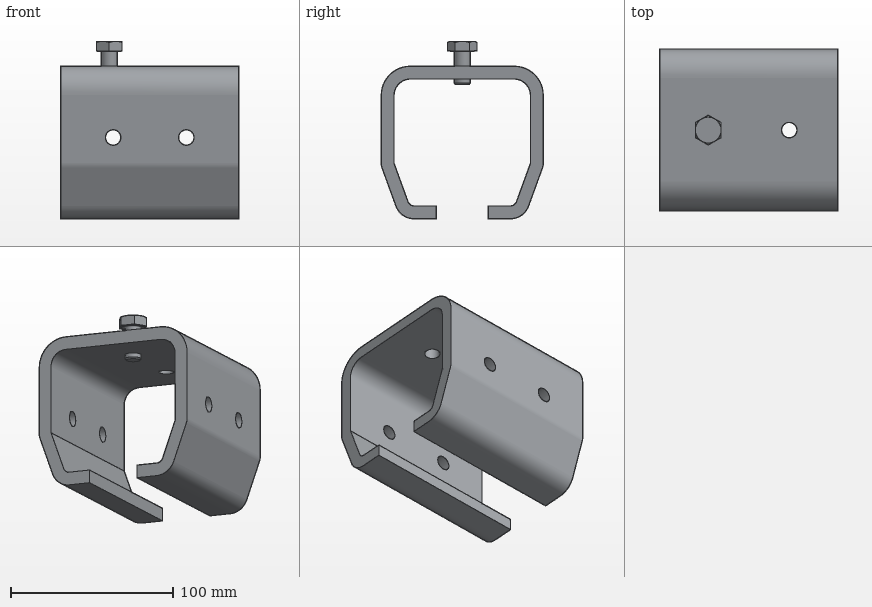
import cadquery as cq
import math

rail_length = 110.0
rail_width = 100.0
rail_height = 94.2
sheet = 8.0
top_inner_radius = 10.0
lip_inner_radius = 4.0
bend_height = 34.2
lean_angle = 20.0
slot_width = 32.0

hole_diameter = 9.4
side_hole_offset = 22.5
side_hole_height = 50.2
top_hole_offset = 25.0

shank_diameter = 10.0
bolt_top = 109.5
bolt_bottom = 82.7
tip_chamfer = 0.9
head_height = 5.9
head_across_flats = 16.0
head_top_bevel = 0.8
washer_face_diameter = 14.6
washer_face_height = 0.4
neck_fillet = 0.4

lean = math.radians(lean_angle)
edge_margin = 0.1


def rounded_tube(half_width, floor, roof, bend, top_radius, bend_radius, floor_radius):
    """Solid bar along X: upright sides, leaning in below the bend, with rounded long edges."""
    half_floor = half_width - (bend - floor) * math.tan(lean)
    right_side = [(half_floor, floor), (half_width, bend), (half_width, roof)]
    left_side = [(-y, z) for y, z in reversed(right_side)]
    bar = (
        cq.Workplane("YZ")
        .polyline(right_side + left_side)
        .close()
        .extrude(rail_length / 2, both=True)
    )
    bar = bar.edges("|X and >Z").fillet(top_radius)
    bar = bar.edges("|X and <Z").fillet(floor_radius)
    if bend_radius > 0:
        near_bend = cq.selectors.BoxSelector(
            (-rail_length, -rail_width, bend - edge_margin), (rail_length, rail_width, bend + edge_margin)
        )
        bar = bar.edges(near_bend).fillet(bend_radius)
    return bar


def make_rail():
    outer_bend = bend_height - sheet * math.tan(lean / 2)
    outside = rounded_tube(
        rail_width / 2, 0, rail_height, outer_bend,
        top_inner_radius + sheet, sheet, lip_inner_radius + sheet,
    )
    inside = rounded_tube(
        rail_width / 2 - sheet, sheet, rail_height - sheet, bend_height,
        top_inner_radius, 0, lip_inner_radius,
    )
    slot = cq.Workplane("XY").box(rail_length, slot_width, 2 * sheet)
    rail = outside.cut(inside).cut(slot)

    for x in (-side_hole_offset, side_hole_offset):
        side_hole = (
            cq.Workplane("XZ")
            .center(x, side_hole_height)
            .circle(hole_diameter / 2)
            .extrude(rail_width, both=True)
        )
        rail = rail.cut(side_hole)

    for x, diameter in ((-top_hole_offset, shank_diameter), (top_hole_offset, hole_diameter)):
        top_hole = (
            cq.Workplane("XY", origin=(x, 0, rail_height - 2 * sheet))
            .circle(diameter / 2)
            .extrude(3 * sheet)
        )
        rail = rail.cut(top_hole)
    return rail


def make_bolt():
    head_bottom = bolt_top - head_height
    across_corners = head_across_flats / math.cos(math.pi / 6)
    hexagon = (
        cq.Workplane("XY", origin=(0, 0, head_bottom))
        .transformed(rotate=(0, 0, 30))
        .polygon(6, across_corners)
        .extrude(head_height)
    )
    turned_blank = (
        cq.Workplane("XZ")
        .moveTo(0, head_bottom)
        .lineTo(across_corners / 2, head_bottom)
        .lineTo(across_corners / 2, bolt_top - head_top_bevel)
        .lineTo(head_across_flats / 2, bolt_top)
        .lineTo(0, bolt_top)
        .close()
        .revolve(360, (0, 0, 0), (0, 1, 0))
    )
    head = hexagon.intersect(turned_blank)

    neck_top = head_bottom - washer_face_height
    shank_radius = shank_diameter / 2
    turned_shank = (
        cq.Workplane("XZ")
        .moveTo(0, head_bottom)
        .lineTo(washer_face_diameter / 2, head_bottom)
        .lineTo(washer_face_diameter / 2, neck_top)
        .lineTo(shank_radius + neck_fillet, neck_top)
        .radiusArc((shank_radius, neck_top - neck_fillet), -neck_fillet)
        .lineTo(shank_radius, bolt_bottom + tip_chamfer)
        .lineTo(shank_radius - tip_chamfer, bolt_bottom)
        .lineTo(0, bolt_bottom)
        .close()
        .revolve(360, (0, 0, 0), (0, 1, 0))
    )
    bolt = head.union(turned_shank)
    return bolt.translate((-top_hole_offset, 0, 0))


rail = make_rail()
bolt = make_bolt()
result = cq.Compound.makeCompound([rail.val(), bolt.val()])